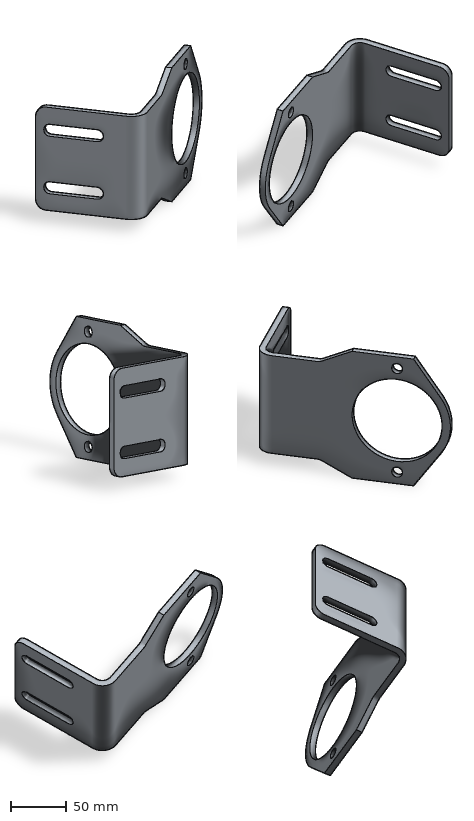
import cadquery as cq
import math

foot_length = 101.0
upright_length = 182.3
head_width = 130.0
foot_width = 100.0
thickness = 6.0
bend_outer_radius = 15.0
bend_inner_radius = bend_outer_radius - thickness
corner_radius = 10.0

bore_diameter = 84.0
head_radius = 50.0
bore_y = upright_length - head_radius
bolt_hole_diameter = 10.0
bolt_hole_offset = 53.0
head_flat_end_y = 147.9
head_flat_start_y = 90.2
neck_y = 60.0
neck_radius = 10.0

slot_length = 56.3
slot_width = 11.5
slot_edge_gap = 7.8
slot_offset = 27.9


def folded_sheet():
    """L-shaped bent strip, as wide as the head."""
    strip = (
        cq.Workplane("XY")
        .polyline([
            (0, 0),
            (foot_length, 0),
            (foot_length, upright_length),
            (foot_length - thickness, upright_length),
            (foot_length - thickness, thickness),
            (0, thickness),
        ])
        .close()
        .extrude(head_width / 2, both=True)
    )
    outer_edge = cq.selectors.NearestToPointSelector((foot_length, 0, 0))
    inner_edge = cq.selectors.NearestToPointSelector((foot_length - thickness, thickness, 0))
    strip = strip.edges("|Z").edges(outer_edge).fillet(bend_outer_radius)
    return strip.edges("|Z").edges(inner_edge).fillet(bend_inner_radius)


def upright_outline():
    """Side silhouette in the YZ plane, cut through the whole bracket."""
    half_foot = foot_width / 2
    half_head = head_width / 2

    corner_dy = head_flat_end_y - bore_y
    corner_angle = math.atan2(half_head, corner_dy)
    tangent_angle = corner_angle - math.acos(head_radius / math.hypot(corner_dy, half_head))
    tangent_y = bore_y + head_radius * math.cos(tangent_angle)
    tangent_z = head_radius * math.sin(tangent_angle)

    outline = (
        cq.Workplane("YZ")
        .moveTo(0, -half_foot)
        .lineTo(neck_y, -half_foot)
        .lineTo(head_flat_start_y, -half_head)
        .lineTo(head_flat_end_y, -half_head)
        .lineTo(tangent_y, -tangent_z)
        .threePointArc((upright_length, 0), (tangent_y, tangent_z))
        .lineTo(head_flat_end_y, half_head)
        .lineTo(head_flat_start_y, half_head)
        .lineTo(neck_y, half_foot)
        .lineTo(0, half_foot)
        .close()
        .extrude(foot_length)
    )
    for side in (-1, 1):
        neck_edge = cq.selectors.NearestToPointSelector((foot_length / 2, neck_y, side * half_foot))
        outline = outline.edges("|X").edges(neck_edge).fillet(neck_radius)
    return outline


def head_holes():
    """Large bore and the bolt holes above and below it."""
    bore = cq.Workplane("YZ").center(bore_y, 0).circle(bore_diameter / 2).extrude(foot_length)
    bolts = (
        cq.Workplane("YZ")
        .pushPoints([(bore_y, -bolt_hole_offset), (bore_y, bolt_hole_offset)])
        .circle(bolt_hole_diameter / 2)
        .extrude(foot_length)
    )
    return bore.union(bolts)


def foot_slots():
    """Pair of slots through the foot thickness."""
    slot_x = slot_edge_gap + slot_length / 2
    return (
        cq.Workplane("XZ")
        .pushPoints([(slot_x, -slot_offset), (slot_x, slot_offset)])
        .slot2D(slot_length, slot_width)
        .extrude(-thickness)
    )


bracket = folded_sheet().intersect(upright_outline())
bracket = bracket.edges("|Y and <X").fillet(corner_radius)
result = bracket.cut(head_holes()).cut(foot_slots())